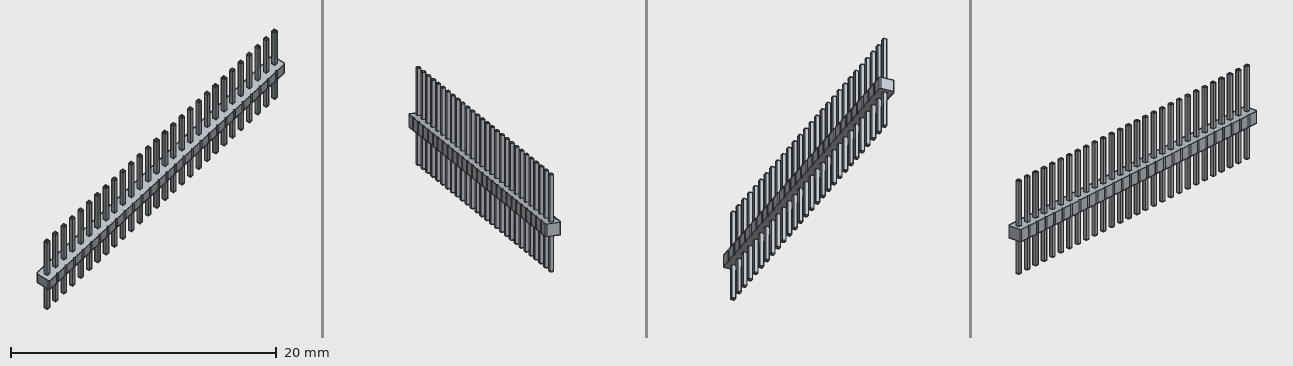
import cadquery as cq

strip_length = 28.0
pin_count = 28
pitch = strip_length / pin_count

strip_width = 1.25
strip_height = 1.0
cell_corner_chamfer = 0.1

pin_tip_flat = 0.148
pin_tip_chamfer = 0.075
pin_width = pin_tip_flat + 2 * pin_tip_chamfer
pin_rise_above_strip = 3.8
pin_drop_below_strip = 3.0
pin_length = pin_drop_below_strip + strip_height + pin_rise_above_strip

pin_positions = [(0, (index - (pin_count - 1) / 2) * pitch) for index in range(pin_count)]


def make_strip():
    """Row of box cells whose chamfered upright corners leave V notches between them."""
    cell = (
        cq.Workplane("XY")
        .box(strip_width, pitch, strip_height, centered=(True, True, False))
        .edges("|Z")
        .chamfer(cell_corner_chamfer)
    )
    return cq.Workplane("XY").pushPoints(pin_positions).eachpoint(cell.val(), combine=True)


def make_pins():
    """Square pins passing through the strip, with all four tip edges chamfered at both ends."""
    pin = (
        cq.Workplane("XY")
        .box(pin_width, pin_width, pin_length, centered=(True, True, False))
        .faces("<Z or >Z")
        .edges()
        .chamfer(pin_tip_chamfer)
        .translate((0, 0, -pin_drop_below_strip))
    )
    return cq.Workplane("XY").pushPoints(pin_positions).eachpoint(pin.val())


result = make_strip().union(make_pins()).clean()